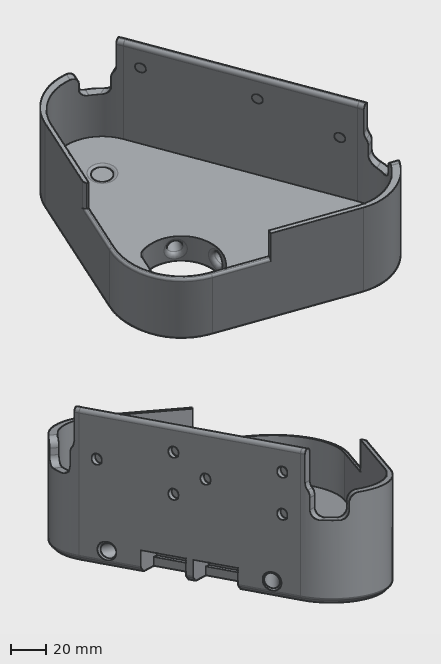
import cadquery as cq
import math

SIZE = 173.5
END_RADIUS = 35.0
HUB_RADIUS = 44.8
INNER_END_RADIUS = 31.8
WALL = 2.8
BACK_WALL = 5.2

FLOOR_TOP = 18.7
RIM_TOP = 66.5
PLATE_TOP = 91.8
BOTTOM_CHAMFER = 3.1
BOTTOM_BLEND = 1.5

PLATE_HALF = 76.2
PLATE_ROUND = 2.59
FLARE_HALF = 79.1
FLARE_TOP = 72.2
FLARE_BOTTOM = 63.7

NOTCH_FLOOR = 50.5
NOTCH_ROUND = 5.9
NOTCH_EDGE = 33.7

LOW_RIM_TOP = 47.0
LOW_RIM_LENGTH = 81.0
LOW_RIM_ROUND = 1.5
LOW_RIM_END_RUN = 3.3

HUB_HOLE_RADIUS = 25.5
HUB_HOLE_FLAT = 17.9
HUB_HOLE_ROUND = 6.0
DRAIN_DIAMETER = 5.0
DRAIN_POINT = (14.7, 21.7)
DISH_DIAMETER = 17.5
DISH_FLOOR_DIAMETER = 12.8
DISH_DEPTH = 1.13

MOUNT_DIAMETER = 6.8
MOUNT_DEPTH = 4.0
MOUNT_SPACING = 71.8
MOUNT_SHIFT = 25.3
MOUNT_MIDDLE_Z = 63.3
MOUNT_ROW_PITCH = 12.7

POCKET_GAP = 4.7
POCKET_WIDTH = 29.7
POCKET_HEIGHT = 13.5
POCKET_DEPTH = 17.9
LEDGE_DEPTH = 14.5
LEDGE_HEIGHT = 5.4

CHANNEL_DIAMETER = 9.0
CHANNEL_MOUTH_DIAMETER = 11.1
CHANNEL_ANGLE = 30.0
CHANNEL_Z = 9.4
CHANNEL_ROUND = 3.0

ROOT2 = math.sqrt(2)
HUB = (SIZE - HUB_RADIUS, HUB_RADIUS)
OUTER_END = (END_RADIUS, END_RADIUS)
INNER_END_Y = WALL + INNER_END_RADIUS
INNER_END_X = INNER_END_Y + ROOT2 * (BACK_WALL + INNER_END_RADIUS - END_RADIUS)
INNER_END = (INNER_END_X, INNER_END_Y)
BACK_MIDDLE = (SIZE / 2 - END_RADIUS / ROOT2, SIZE / 2 + END_RADIUS / ROOT2)
HUB_TO_BACK = math.dist(HUB, BACK_MIDDLE)


def mirrored(point):
    """Reflect a plan point across the symmetry plane through the hub corner."""
    return (SIZE - point[1], SIZE - point[0])


def mirrored_body(body):
    """Reflect a body across the symmetry plane through the hub corner."""
    return body.rotate((0, 0, 0), (0, 0, 1), 90).mirror("XZ").mirror("YZ").mirror("XZ").translate((SIZE, SIZE, 0))


def back_plane(depth=0.0):
    """Plane parallel to the back face: x along the face, y up, normal into the part."""
    origin = (BACK_MIDDLE[0] + depth / ROOT2, BACK_MIDDLE[1] - depth / ROOT2, 0)
    return cq.Workplane(cq.Plane(origin=origin, xDir=(1, 1, 0), normal=(1, -1, 0)))


def rounded_triangle(end, end_radius, hub_radius, bottom, top):
    """Prism with an arc around each end centre and around the hub centre."""
    far_end = mirrored(end)

    def on_arc(center, radius, degrees):
        angle = math.radians(degrees)
        return (center[0] + radius * math.cos(angle), center[1] + radius * math.sin(angle))

    return (
        cq.Workplane("XY", origin=(0, 0, bottom))
        .moveTo(*on_arc(end, end_radius, 270))
        .lineTo(*on_arc(HUB, hub_radius, 270))
        .threePointArc(on_arc(HUB, hub_radius, 315), on_arc(HUB, hub_radius, 360))
        .lineTo(*on_arc(far_end, end_radius, 0))
        .threePointArc(on_arc(far_end, end_radius, 67.5), on_arc(far_end, end_radius, 135))
        .lineTo(*on_arc(end, end_radius, 135))
        .threePointArc(on_arc(end, end_radius, 202.5), on_arc(end, end_radius, 270))
        .close()
        .extrude(top - bottom)
    )


def outer_prism(bottom, top):
    return rounded_triangle(OUTER_END, END_RADIUS, HUB_RADIUS, bottom, top)


def inner_prism(bottom, top):
    return rounded_triangle(INNER_END, INNER_END_RADIUS, HUB_RADIUS - WALL, bottom, top)


def wall_ring(top):
    """The wall above the level of the notch floors."""
    return outer_prism(NOTCH_FLOOR, top).cut(inner_prism(NOTCH_FLOOR, top))


def tray():
    """Floor and walls up to the notch floors, with a softened chamfer around the bottom."""
    block = outer_prism(0, NOTCH_FLOOR).faces("<Z").edges().chamfer(BOTTOM_CHAMFER)
    chamfer_top = cq.selectors.BoxSelector(
        (-1.7, -1.7, BOTTOM_CHAMFER - 0.2), (SIZE + 1.7, SIZE + 1.7, BOTTOM_CHAMFER + 0.2)
    )
    block = block.edges(chamfer_top).fillet(BOTTOM_BLEND)
    return block.cut(inner_prism(FLOOR_TOP, NOTCH_FLOOR))


def plate_profile():
    """Back plate outline: straight top part, S-shaped flare, and a rounded run into each notch."""
    run = FLARE_HALF - PLATE_HALF
    rise = FLARE_TOP - FLARE_BOTTOM
    flare_radius = (run**2 + rise**2) / (4 * run)
    middle = (PLATE_HALF + run / 2, FLARE_BOTTOM + rise / 2)
    foot = FLARE_HALF + NOTCH_ROUND
    foot_top = NOTCH_FLOOR + NOTCH_ROUND
    return (
        back_plane()
        .moveTo(-PLATE_HALF, PLATE_TOP)
        .lineTo(PLATE_HALF, PLATE_TOP)
        .lineTo(PLATE_HALF, FLARE_TOP)
        .radiusArc(middle, -flare_radius)
        .radiusArc((FLARE_HALF, FLARE_BOTTOM), flare_radius)
        .lineTo(FLARE_HALF, foot_top)
        .radiusArc((foot, NOTCH_FLOOR), -NOTCH_ROUND)
        .lineTo(-foot, NOTCH_FLOOR)
        .radiusArc((-FLARE_HALF, foot_top), -NOTCH_ROUND)
        .lineTo(-FLARE_HALF, FLARE_BOTTOM)
        .radiusArc((-middle[0], middle[1]), flare_radius)
        .radiusArc((-PLATE_HALF, FLARE_TOP), -flare_radius)
        .close()
    )


def back_plate():
    """The tall part of the wall, rounded along the inner and outer top edges."""
    plate = wall_ring(PLATE_TOP).intersect(plate_profile().extrude(END_RADIUS / 2))
    across = cq.selectors.ParallelDirSelector(cq.Vector(1, -1, 0))
    long_edges = plate.faces(">Z").edges(cq.selectors.InverseSelector(across))
    return long_edges.fillet(PLATE_ROUND)


def side_walls():
    """The rim-height wall, ending at a rounded notch edge beside each end of the back plate."""
    edge = SIZE - NOTCH_EDGE
    planes = (
        cq.Plane(origin=(0, 0, 0), xDir=(1, 0, 0), normal=(0, -1, 0)),
        cq.Plane(origin=(0, SIZE, 0), xDir=(0, -1, 0), normal=(-1, 0, 0)),
    )
    ring = wall_ring(RIM_TOP)
    walls = None
    for plane in planes:
        region = (
            cq.Workplane(plane)
            .moveTo(SIZE, NOTCH_FLOOR)
            .lineTo(SIZE, RIM_TOP)
            .lineTo(edge + NOTCH_ROUND, RIM_TOP)
            .radiusArc((edge, RIM_TOP - NOTCH_ROUND), -NOTCH_ROUND)
            .lineTo(edge, NOTCH_FLOOR + NOTCH_ROUND)
            .radiusArc((edge - NOTCH_ROUND, NOTCH_FLOOR), NOTCH_ROUND)
            .close()
            .extrude(SIZE, both=True)
        )
        part = ring.intersect(region)
        walls = part if walls is None else walls.union(part)
    return walls


def end_round():
    """Cutter that eases the outer wall into the front end of the lowered rim."""
    start = SIZE - LOW_RIM_LENGTH
    round_bottom = LOW_RIM_TOP - LOW_RIM_ROUND
    radius = (LOW_RIM_END_RUN**2 + LOW_RIM_ROUND**2) / (2 * LOW_RIM_ROUND)
    plan = (
        cq.Workplane("XY", origin=(0, 0, round_bottom))
        .moveTo(start, 0)
        .lineTo(start - LOW_RIM_END_RUN, 0)
        .radiusArc((start, LOW_RIM_ROUND), -radius)
        .close()
        .extrude(RIM_TOP - round_bottom)
    )
    rim_section = (
        cq.Workplane("YZ", origin=(start - LOW_RIM_END_RUN, 0, 0))
        .moveTo(0, RIM_TOP)
        .lineTo(0, round_bottom)
        .radiusArc((LOW_RIM_ROUND, LOW_RIM_TOP), LOW_RIM_ROUND)
        .lineTo(LOW_RIM_ROUND, RIM_TOP)
        .close()
        .extrude(LOW_RIM_END_RUN)
    )
    return plan.intersect(rim_section)


def lower_rim(housing):
    """Drop the rim around the hub corner and round the outer edge of the opening."""
    center = SIZE - LOW_RIM_LENGTH / 2
    opening = (
        cq.Workplane("XY", origin=(center, SIZE - center, LOW_RIM_TOP))
        .rect(LOW_RIM_LENGTH, LOW_RIM_LENGTH)
        .extrude(PLATE_TOP)
    )
    housing = housing.cut(opening)
    front_edge = cq.selectors.BoxSelector(
        (SIZE - LOW_RIM_LENGTH, -0.2, LOW_RIM_TOP - 0.2), (HUB[0], 0.2, LOW_RIM_TOP + 0.2)
    )
    housing = housing.edges(front_edge).fillet(LOW_RIM_ROUND)
    return housing.cut(end_round()).cut(mirrored_body(end_round()))


def hub_hole():
    """Round hole through the floor with two flat sides facing the hub corner."""
    shift = HUB_HOLE_RADIUS - HUB_HOLE_FLAT
    disc = cq.Workplane("XY").center(*HUB).circle(HUB_HOLE_RADIUS).extrude(FLOOR_TOP)
    square = (
        cq.Workplane("XY")
        .center(HUB[0] - shift, HUB[1] + shift)
        .rect(2 * HUB_HOLE_RADIUS, 2 * HUB_HOLE_RADIUS)
        .extrude(FLOOR_TOP)
    )
    return disc.intersect(square).edges("|Z").fillet(HUB_HOLE_ROUND)


def drains():
    points = [DRAIN_POINT, mirrored(DRAIN_POINT)]
    return cq.Workplane("XY").pushPoints(points).circle(DRAIN_DIAMETER / 2).extrude(FLOOR_TOP)


def dishes():
    """Shallow round dishes in the floor, with a convex rounded rim and a flat bottom."""
    rim = DISH_DIAMETER / 2
    flat = DISH_FLOOR_DIAMETER / 2
    round_radius = ((rim - flat) ** 2 + DISH_DEPTH**2) / (2 * DISH_DEPTH)
    dish = (
        cq.Workplane("XZ")
        .lineTo(0, -DISH_DEPTH)
        .lineTo(flat, -DISH_DEPTH)
        .radiusArc((rim, 0), round_radius)
        .close()
        .revolve()
    )
    first = dish.translate((INNER_END[0], INNER_END[1], FLOOR_TOP))
    far_end = mirrored(INNER_END)
    return first.union(dish.translate((far_end[0], far_end[1], FLOOR_TOP)))


def pockets():
    """Two pockets open to the bottom, each with a shallower ledge at its foot."""
    offset = (POCKET_GAP + POCKET_WIDTH) / 2
    cuts = (
        (0, LEDGE_DEPTH),
        (LEDGE_HEIGHT, POCKET_DEPTH),
    )
    tool = None
    for bottom, depth in cuts:
        middle = (bottom + POCKET_HEIGHT) / 2
        cut = (
            back_plane()
            .pushPoints([(-offset, middle), (offset, middle)])
            .rect(POCKET_WIDTH, POCKET_HEIGHT - bottom)
            .extrude(depth)
        )
        tool = cut if tool is None else tool.union(cut)
    return tool


half = MOUNT_SPACING / 2
top_row_z = MOUNT_MIDDLE_Z + MOUNT_ROW_PITCH
bottom_row_z = MOUNT_MIDDLE_Z - MOUNT_ROW_PITCH
PLUGGED_MOUNTS = [
    (-MOUNT_SHIFT - half, top_row_z),
    (-MOUNT_SHIFT + half, top_row_z),
    (MOUNT_SHIFT + half, MOUNT_MIDDLE_Z),
]
BLIND_MOUNTS = [
    (MOUNT_SHIFT - half, MOUNT_MIDDLE_Z),
    (-MOUNT_SHIFT - half, bottom_row_z),
    (-MOUNT_SHIFT + half, bottom_row_z),
]


def mounting_holes():
    """Blind holes, and holes that go right through where a plug closes the inner end."""
    blind = back_plane().pushPoints(BLIND_MOUNTS).circle(MOUNT_DIAMETER / 2).extrude(MOUNT_DEPTH)
    through = back_plane().pushPoints(PLUGGED_MOUNTS).circle(MOUNT_DIAMETER / 2).extrude(BACK_WALL)
    return blind.union(through)


def make_plug(point):
    """Disc that closes a mounting hole flush with the inner face of the back plate."""
    return back_plane(MOUNT_DEPTH).center(*point).circle(MOUNT_DIAMETER / 2).extrude(BACK_WALL - MOUNT_DEPTH)


def cut_channel(housing, side):
    """Bore from the hub hole to the back face, chamfered at its mouth and rounded at the hub end."""
    angle = math.radians(135 + side * CHANNEL_ANGLE)
    axis = (math.cos(angle), math.sin(angle), 0)
    length = HUB_TO_BACK / math.cos(math.radians(CHANNEL_ANGLE))
    plane = cq.Plane(origin=(HUB[0], HUB[1], CHANNEL_Z), xDir=(0, 0, 1), normal=axis)
    bore = cq.Workplane(plane).circle(CHANNEL_DIAMETER / 2).extrude(1.2 * length)

    def edges_at(distance):
        point = (HUB[0] + distance * axis[0], HUB[1] + distance * axis[1], CHANNEL_Z)
        reach = CHANNEL_DIAMETER / 2 + 1.0
        low = [value - reach for value in point]
        high = [value + reach for value in point]
        return cq.selectors.BoxSelector(low, high, boundingbox=True)

    housing = housing.cut(bore)
    housing = housing.edges(edges_at(HUB_HOLE_RADIUS)).fillet(CHANNEL_ROUND)
    return housing.edges(edges_at(length)).chamfer((CHANNEL_MOUTH_DIAMETER - CHANNEL_DIAMETER) / 2)


def make_housing():
    housing = tray().union(back_plate()).union(side_walls())
    housing = lower_rim(housing)
    housing = housing.cut(hub_hole()).cut(drains()).cut(dishes()).cut(pockets())
    housing = housing.cut(mounting_holes())
    for side in (-1, 1):
        housing = cut_channel(housing, side)
    return housing


housing = make_housing()
plugs = [make_plug(point) for point in PLUGGED_MOUNTS]
result = cq.Compound.makeCompound([housing.val(), *[plug.val() for plug in plugs]])